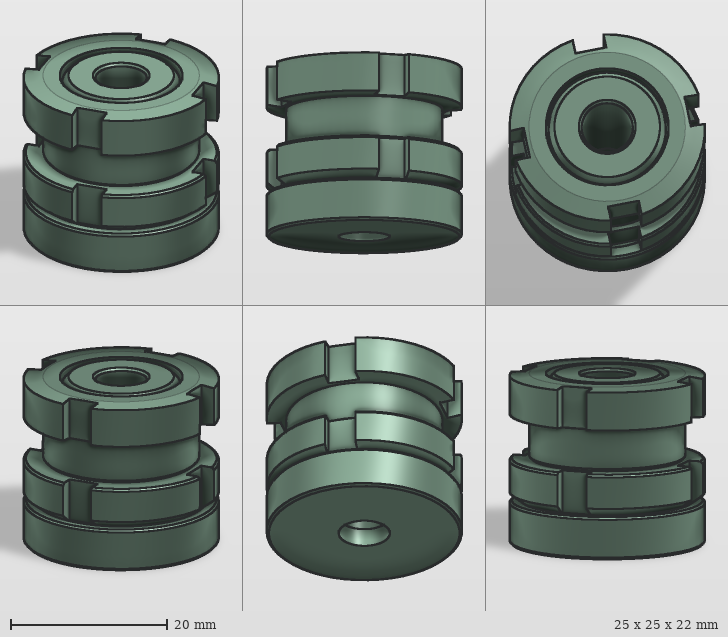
import cadquery as cq
import math

outer_radius = 12.5
tier_height = 5.5
flange_bottom = tier_height
flange_top = 2 * tier_height
total_height = 4 * tier_height
rim_chamfer = 0.3

seat_radius = 19.82
seat_centre_z = total_height

bore_radius = 3.28
bore_chamfer = 0.35
stud_radius = 7.5
stud_chamfer = 0.75

neck_radius = 10.0
neck_chamfer = 0.35
nut_flange_bottom = 3 * tier_height
nut_bevel_height = 0.28
counterbore_radius = 7.85
counterbore_depth = 2.0

slot_count = 4
slot_width = 4.0
slot_floor_radius = 10.5


def seat_z(radius):
    """Height of the spherical seat at a given distance from the axis."""
    return seat_centre_z - math.sqrt(seat_radius**2 - radius**2)


def seat_radius_at(z):
    """Distance from the axis at which the spherical seat reaches a height."""
    return math.sqrt(seat_radius**2 - (seat_centre_z - z)**2)


def seat_arc_midpoint(inner, outer):
    """Point on the seat halfway between two distances from the axis."""
    middle = (inner + outer) / 2
    return middle, seat_z(middle)


def revolve_profile(profile):
    """Turn a closed (radius, height) profile about the Z axis."""
    return profile.close().revolve(360, (0, 0, 0), (0, 1, 0))


def cut_wrench_slots(body, bottom, top):
    """Cut the flat-floored slots around a flange between two heights."""
    slot_depth = outer_radius - slot_floor_radius
    for index in range(slot_count):
        slot = (
            cq.Workplane("XY", origin=(0, 0, bottom))
            .center(slot_floor_radius + slot_depth / 2, 0)
            .rect(slot_depth, slot_width)
            .extrude(top - bottom)
            .rotate((0, 0, 0), (0, 0, 1), index * 360 / slot_count)
        )
        body = body.cut(slot)
    return body


def make_base():
    """Foot ring with chamfered rims and a concave spherical seat."""
    seat_rim = seat_radius_at(tier_height)
    return revolve_profile(
        cq.Workplane("XZ")
        .moveTo(bore_radius, 0)
        .lineTo(outer_radius - rim_chamfer, 0)
        .lineTo(outer_radius, rim_chamfer)
        .lineTo(outer_radius, tier_height - rim_chamfer)
        .lineTo(outer_radius - rim_chamfer, tier_height)
        .lineTo(seat_rim, tier_height)
        .threePointArc(seat_arc_midpoint(bore_radius, seat_rim), (bore_radius, seat_z(bore_radius)))
    )


def make_spindle():
    """Slotted flange with a convex spherical underside and a bored central stud."""
    body = revolve_profile(
        cq.Workplane("XZ")
        .moveTo(bore_radius, seat_z(bore_radius))
        .threePointArc(seat_arc_midpoint(bore_radius, outer_radius), (outer_radius, seat_z(outer_radius)))
        .lineTo(outer_radius, flange_top - rim_chamfer)
        .lineTo(outer_radius - rim_chamfer, flange_top)
        .lineTo(stud_radius, flange_top)
        .lineTo(stud_radius, total_height - stud_chamfer)
        .lineTo(stud_radius - stud_chamfer, total_height)
        .lineTo(bore_radius + bore_chamfer, total_height)
        .lineTo(bore_radius, total_height - bore_chamfer)
    )
    return cut_wrench_slots(body, flange_bottom, flange_top)


def make_sleeve_nut():
    """Slotted, bevelled flange on a neck that rests on the spindle flange."""
    body = revolve_profile(
        cq.Workplane("XZ")
        .moveTo(stud_radius, flange_top)
        .lineTo(neck_radius - neck_chamfer, flange_top)
        .lineTo(neck_radius, flange_top + neck_chamfer)
        .lineTo(neck_radius, nut_flange_bottom)
        .lineTo(outer_radius, nut_flange_bottom + nut_bevel_height)
        .lineTo(outer_radius, total_height - nut_bevel_height)
        .lineTo(neck_radius, total_height)
        .lineTo(counterbore_radius, total_height)
        .lineTo(counterbore_radius, total_height - counterbore_depth)
        .lineTo(stud_radius, total_height - counterbore_depth)
    )
    return cut_wrench_slots(body, nut_flange_bottom, total_height)


base = make_base()
spindle = make_spindle()
sleeve_nut = make_sleeve_nut()

result = cq.Compound.makeCompound([base.val(), spindle.val(), sleeve_nut.val()])